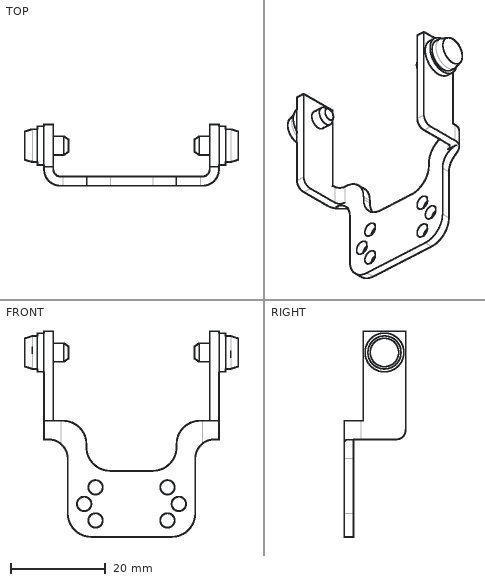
import cadquery as cq

sheet = 2.0
width = 37.0
depth = 13.0
height = 43.5
bend_inner_radius = 1.5
bend_outer_radius = bend_inner_radius + sheet
half_width = width / 2

plate_half_width = 13.5
plate_corner_radius = 5.0
shoulder_bottom = 20.6
shoulder_height = 4.0
shoulder_top = shoulder_bottom + shoulder_height
shoulder_fillet = 4.0
notch_half_width = 9.5
notch_bottom = 14.0
notch_radius = 5.0

arm_width = 9.0
arm_front = depth - arm_width
arm_corner_radius = 2.0

hole_diameter = 3.0
hole_row_z = 7.0
outer_hole_x = 10.0
inner_hole_x = 7.6
inner_hole_offset = 3.5

stud_y = depth - arm_width / 2
stud_z = height - arm_width / 2
pin_radius = 4.0 / 2
pin_length = 3.2
pin_chamfer_length = 1.0
pin_chamfer_depth = 0.7
collar_radius = 8.2 / 2
collar_length = 1.4
head_radius = 7.0 / 2
head_straight_length = 1.1
head_taper_length = 1.6
head_face_radius = 6.0 / 2


def bent_strip():
    """U-shaped sheet section, as tall as the whole bracket."""
    outer = (
        cq.Workplane("XY")
        .rect(width, 2 * depth)
        .extrude(height)
        .edges("|Z and <Y")
        .fillet(bend_outer_radius)
        .translate((0, depth, 0))
    )
    inner = (
        cq.Workplane("XY")
        .rect(width - 2 * sheet, 2 * depth)
        .extrude(height)
        .edges("|Z and <Y")
        .fillet(bend_inner_radius)
        .translate((0, depth + sheet, 0))
    )
    behind = cq.Workplane("XY").box(width, depth, height, centered=(True, False, False))
    return outer.cut(inner).intersect(behind)


def block(half_x, z_min, z_max):
    """Block centred on X that reaches from the plate face back to the arms."""
    size_z = z_max - z_min
    return (
        cq.Workplane("XY", origin=(0, 0, z_min))
        .box(2 * half_x, arm_front, size_z, centered=(True, False, False))
    )


def corner_edges(half_x, z):
    """Selector for the front-to-back edges at X = +/-half_x and height z."""
    reach = 0.1
    boxes = [
        cq.selectors.BoxSelector(
            (side * half_x - reach, -reach, z - reach),
            (side * half_x + reach, arm_front + reach, z + reach),
        )
        for side in (-1, 1)
    ]
    return boxes[0] + boxes[1]


def space_below_shoulders():
    """Space behind the plate, which keeps the outer fillets one sheet thick."""
    return (
        cq.Workplane("XY", origin=(0, sheet, 0))
        .box(width, arm_front - sheet, shoulder_bottom, centered=(True, False, False))
    )


def plate_outline():
    """Front outline of the plate and shoulders, extruded back to the arms."""
    body = block(plate_half_width, 0, shoulder_top)
    shoulders = block(half_width, shoulder_bottom, shoulder_top)
    notch = block(notch_half_width, notch_bottom, shoulder_top)
    outline = body.union(shoulders).cut(notch)
    rounded_corners = [
        (plate_half_width, 0, plate_corner_radius),
        (plate_half_width, shoulder_bottom, shoulder_fillet),
        (notch_half_width, notch_bottom, notch_radius),
        (notch_half_width, shoulder_top, notch_radius),
    ]
    for half_x, z, radius in rounded_corners:
        outline = outline.edges("|Y").edges(corner_edges(half_x, z)).fillet(radius)
    return outline.cut(space_below_shoulders())


def arm_outline():
    """Side outline of the arms, extruded across the bracket."""
    return (
        cq.Workplane("XY", origin=(0, arm_front, shoulder_bottom))
        .box(width, arm_width, height - shoulder_bottom, centered=(True, False, False))
        .edges("|X and >Y and <Z")
        .fillet(arm_corner_radius)
    )


def mounting_holes():
    """Six through-hole cutters in the front plate."""
    centres = []
    for side in (-1, 1):
        centres.append((side * outer_hole_x, hole_row_z))
        centres.append((side * inner_hole_x, hole_row_z - inner_hole_offset))
        centres.append((side * inner_hole_x, hole_row_z + inner_hole_offset))
    return (
        cq.Workplane("XZ")
        .pushPoints(centres)
        .circle(hole_diameter / 2)
        .extrude(-sheet)
    )


def right_stud():
    """Turned stud of the +X arm: pin inside, collar and tapered head outside."""
    arm_inside = half_width - sheet
    pin_end = arm_inside - pin_length
    collar_end = half_width + collar_length
    taper_start = collar_end + head_straight_length
    head_end = taper_start + head_taper_length
    return (
        cq.Workplane("XY")
        .moveTo(pin_end, 0)
        .lineTo(pin_end, pin_radius - pin_chamfer_depth)
        .lineTo(pin_end + pin_chamfer_length, pin_radius)
        .lineTo(half_width, pin_radius)
        .lineTo(half_width, collar_radius)
        .lineTo(collar_end, collar_radius)
        .lineTo(collar_end, head_radius)
        .lineTo(taper_start, head_radius)
        .lineTo(head_end, head_face_radius)
        .lineTo(head_end, 0)
        .close()
        .revolve(360, (0, 0, 0), (1, 0, 0))
        .translate((0, stud_y, stud_z))
    )


bracket = bent_strip().intersect(plate_outline().union(arm_outline()))
bracket = bracket.cut(mounting_holes())
stud = right_stud()
result = bracket.union(stud).union(stud.mirror("YZ"))